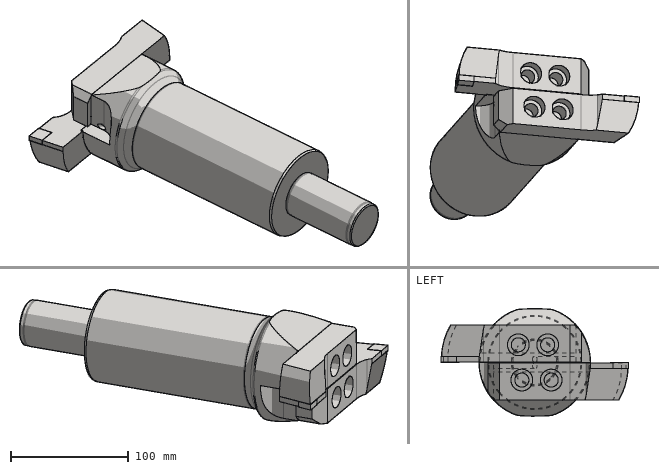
import cadquery as cq
import math

tool_length = 300.0
cutting_radius = 80.0

head_start = 32.0
head_radius = 95.0 / 2
head_chamfer = 1.0
head_face_radius = head_radius - head_chamfer
tongue_length = 2.0
tongue_height = 16.0
tongue_start = head_start - tongue_length
head_end = 68.35
head_cone_angle = 45.0
head_edge_radius = 2.0
neck_end = 80.0
neck_radius = 79.8 / 2
neck_fillet = 10.0
barrel_end = 230.0
barrel_radius = 80.0 / 2
barrel_chamfer_length = 2.0
barrel_chamfer_depth = 0.7
shank_radius = 40.0 / 2
shank_relief_radius = 39.5 / 2
shank_relief_length = 2.0
shank_tail_length = 5.0
shank_chamfer = 1.0
step_taper_length = 1.0
head_flat_angle = 20.0

pocket_wall_y = -35.0
pocket_corner_radius = 16.5
pocket_corner_x = 45.6

coolant_diameter = 5.0
coolant_exit_x = 43.3
coolant_height = 2.75
coolant_angle = 36.0

blade_thickness = 32.0
blade_clearance = 0.3
blade_back_x = head_start
web_front_x = 7.0
web_half_width = 30.0
blade_tail_y = 40.0
tail_front_chamfer = blade_tail_y - web_half_width
tail_face_chamfer = 6.0
tip_inner_y = -47.5
step_bend_x = 3.5
step_bend_y = -43.8
step_radius = 25.0
land_height = 5.0
land_step = 0.2
front_relief_angle = 7.5
flank_radius = 54.0
side_taper_angle = 10.0

insert_length = 12.4
insert_width = 13.5
insert_proud = 0.3

screw_diameter = 12.0
screw_head_diameter = 18.5
screw_head_depth = 10.0
screw_spacing = 25.0
screw_shift = -1.5
screw_height = 15.0

half_turn = ((0, 0, 0), (1, 0, 0), 180)
side_taper = math.tan(math.radians(side_taper_angle))


def make_turned_holder():
    """Revolve the holder: head, neck, barrel and shank."""
    cone_angle = math.radians(head_cone_angle)
    edge_start = head_end - head_edge_radius * math.tan(cone_angle / 2)
    edge_end = edge_start + head_edge_radius * math.sin(cone_angle)
    edge_end_radius = head_radius - head_edge_radius * (1 - math.cos(cone_angle))
    fillet_start_radius = neck_radius + neck_fillet * (1 - math.cos(cone_angle))
    fillet_start = head_end + (head_radius - fillet_start_radius) / math.tan(cone_angle)
    fillet_end = fillet_start + neck_fillet * math.sin(cone_angle)
    relief_end = barrel_end + shank_relief_length
    tail_start = tool_length - shank_tail_length
    return (
        cq.Workplane("XY")
        .moveTo(head_start, 0)
        .lineTo(head_start, head_face_radius)
        .lineTo(head_start + head_chamfer, head_radius)
        .lineTo(edge_start, head_radius)
        .tangentArcPoint((edge_end, edge_end_radius), relative=False)
        .lineTo(fillet_start, fillet_start_radius)
        .tangentArcPoint((fillet_end, neck_radius), relative=False)
        .lineTo(neck_end, neck_radius)
        .lineTo(neck_end + step_taper_length, barrel_radius)
        .lineTo(barrel_end - barrel_chamfer_length, barrel_radius)
        .lineTo(barrel_end, barrel_radius - barrel_chamfer_depth)
        .lineTo(barrel_end, shank_relief_radius)
        .lineTo(relief_end - step_taper_length, shank_relief_radius)
        .lineTo(relief_end, shank_radius)
        .lineTo(tail_start, shank_radius)
        .lineTo(tail_start + step_taper_length, shank_relief_radius)
        .lineTo(tool_length - shank_chamfer, shank_relief_radius)
        .lineTo(tool_length, shank_relief_radius - shank_chamfer)
        .lineTo(tool_length, 0)
        .close()
        .revolve(360, (0, 0, 0), (1, 0, 0))
    )


def make_tongue():
    """Tongue across the head face, with round ends, that locates the blades."""
    disc = cq.Workplane("YZ", origin=(tongue_start, 0, 0)).circle(head_face_radius).extrude(tongue_length)
    return disc.intersect(cq.Workplane("XY").box(tool_length, 2 * head_radius, tongue_height))


def make_head_flat_cut():
    """Wedge above one sloped flat that runs from the blade face out to the head rim."""
    slope = math.tan(math.radians(head_flat_angle))
    height_at_end = blade_thickness + slope * (neck_end - head_start)
    return (
        cq.Workplane("XZ", origin=(0, head_radius, 0))
        .polyline([
            (head_start, blade_thickness),
            (neck_end, height_at_end),
            (head_start, height_at_end),
        ])
        .close()
        .extrude(2 * head_radius)
    )


def make_chip_pocket():
    """Pocket with its floor on the axis plane and a round end."""
    outer_y = pocket_wall_y - pocket_corner_radius
    return (
        cq.Workplane("XY")
        .moveTo(tongue_start, pocket_wall_y)
        .lineTo(pocket_corner_x, pocket_wall_y)
        .tangentArcPoint((pocket_corner_radius, -pocket_corner_radius))
        .lineTo(tongue_start, outer_y)
        .close()
        .extrude(head_radius)
    )


def make_coolant_hole():
    """Slanted blind hole from the pocket wall to the middle plane of the head."""
    angle = math.radians(coolant_angle)
    direction = cq.Vector(math.cos(angle), math.sin(angle), 0)
    exit_point = cq.Vector(coolant_exit_x, pocket_wall_y, coolant_height)
    length_inside = -pocket_wall_y / math.sin(angle)
    length_outside = coolant_diameter
    return cq.Workplane(cq.Solid.makeCylinder(
        coolant_diameter / 2,
        length_inside + length_outside,
        exit_point - direction * length_outside,
        direction,
    ))


def make_holder():
    holder = make_turned_holder().union(make_tongue())
    for cut in (make_head_flat_cut(), make_chip_pocket(), make_coolant_hole()):
        holder = holder.cut(cut).cut(cut.rotate(*half_turn))
    return holder


def make_side_tapered(profile):
    """Sweep a YZ profile back along the side taper of the blade."""
    back = cq.Vector(blade_back_x, blade_back_x * side_taper, 0)
    return cq.Workplane(cq.Solid.extrudeLinear(profile.val(), [], back))


def make_blade_plan():
    """Blade seen along Z: wide tip, thinner web and chamfered tail."""
    return (
        cq.Workplane("XY", origin=(0, 0, -blade_thickness))
        .moveTo(insert_proud, -cutting_radius)
        .lineTo(insert_proud, tip_inner_y)
        .lineTo(step_bend_x, step_bend_y)
        .radiusArc((web_front_x, -web_half_width), -step_radius)
        .lineTo(web_front_x, web_half_width)
        .lineTo(web_front_x + tail_front_chamfer, blade_tail_y)
        .lineTo(blade_back_x, blade_tail_y)
        .lineTo(blade_back_x, -cutting_radius)
        .close()
        .extrude(blade_thickness - blade_clearance)
        .faces("<Z")
        .edges(">Y")
        .chamfer(tail_face_chamfer)
    )


def make_front_relief_cut():
    """Wedge that leans the tip front back below the land."""
    relief_height = blade_thickness - land_height
    relief_start = insert_proud + land_step
    relief_depth = relief_start + relief_height * math.tan(math.radians(front_relief_angle))
    return (
        cq.Workplane("XZ")
        .polyline([
            (0, -land_height),
            (relief_start, -land_height),
            (relief_depth, -blade_thickness),
            (0, -blade_thickness),
        ])
        .close()
        .extrude(cutting_radius)
    )


def make_flank_envelope():
    """Space inside the blade's side flank: a straight land, then a tangent curved relief."""
    flank_y = -cutting_radius + insert_proud
    relief_angle = math.asin((blade_thickness - land_height) / flank_radius)

    def flank_point(angle):
        return (
            flank_y + land_step + flank_radius * (1 - math.cos(angle)),
            -land_height - flank_radius * math.sin(angle),
        )

    profile = (
        cq.Workplane("YZ")
        .moveTo(flank_y, 0)
        .lineTo(flank_y, -land_height)
        .lineTo(*flank_point(0))
        .threePointArc(flank_point(relief_angle / 2), flank_point(relief_angle))
        .lineTo(cutting_radius, -blade_thickness)
        .lineTo(cutting_radius, 0)
        .close()
        .wires()
    )
    return make_side_tapered(profile)


def make_insert_pad():
    """Insert at the tip corner, cut to length along X."""
    profile = (
        cq.Workplane("YZ")
        .moveTo(-cutting_radius, 0)
        .lineTo(-cutting_radius + insert_width, 0)
        .lineTo(-cutting_radius + insert_width, -land_height)
        .lineTo(-cutting_radius, -land_height)
        .close()
        .wires()
    )
    length_limit = cq.Workplane("XY").box(
        insert_length, 2 * cutting_radius, 2 * blade_thickness, centered=(False, True, True)
    )
    return make_side_tapered(profile).intersect(length_limit)


def make_screw_holes():
    """Two counterbored holes through the web."""
    centres = [(screw_shift + side * screw_spacing / 2, -screw_height) for side in (-1, 1)]
    face = cq.Workplane("YZ", origin=(web_front_x, 0, 0)).pushPoints(centres)
    heads = face.circle(screw_head_diameter / 2).extrude(screw_head_depth)
    shafts = face.circle(screw_diameter / 2).extrude(blade_back_x - web_front_x)
    return heads.union(shafts)


def make_blade(seat):
    """Lower blade, recessed at the back for the holder's tongue."""
    return (
        make_blade_plan()
        .intersect(make_flank_envelope())
        .cut(make_front_relief_cut())
        .union(make_insert_pad())
        .cut(make_screw_holes())
        .cut(seat)
    )


holder = make_holder()
lower_blade = make_blade(holder)
blades = [lower_blade.rotate((0, 0, 0), (1, 0, 0), turn) for turn in (0, 180)]

result = cq.Compound.makeCompound([holder.solids().val(), *[blade.solids().val() for blade in blades]])